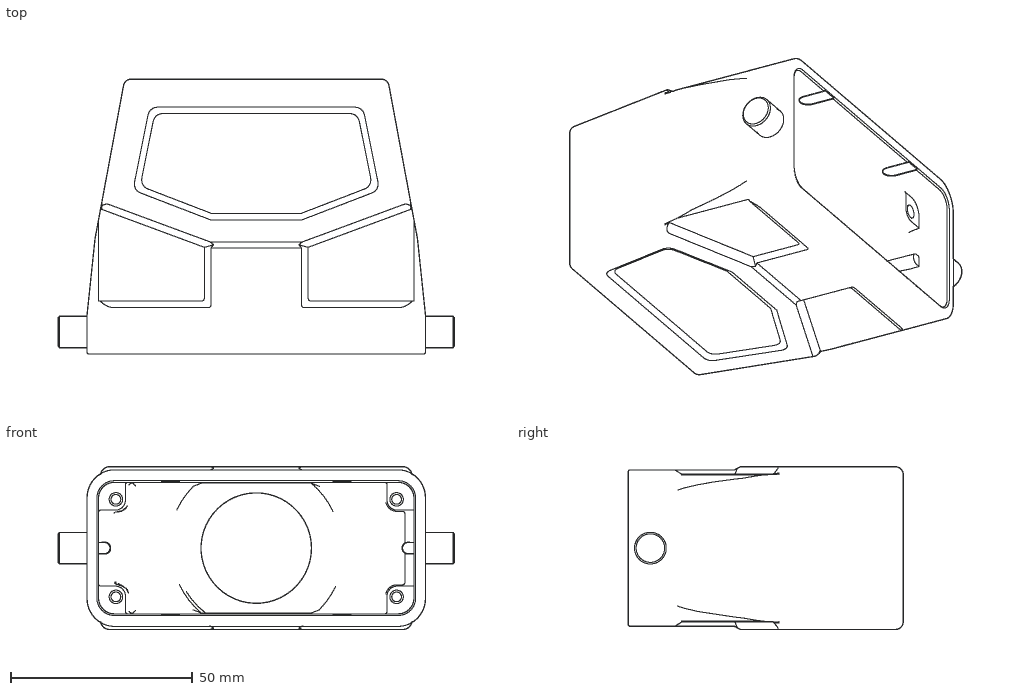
import cadquery as cq
import math


overall_length = 109.5
depth = 76.0
block_thickness = 45.0
skirt_length = 93.5
skirt_thickness = 43.3
skirt_radius = 7.7
skirt_depth = 41.6
rim_fillet = 0.5
block_fillet = 2.2

straight_depth = 11.0
bend_depth = 31.9
bend_half_length = 44.6
back_half_length = 36.4

step_top_y = 31.0
step_run = 1.6
step_corner_x = 12.7
shoulder_slope = 0.37

pocket_floor_z = 20.5
pocket_inner_x = 14.3
pocket_front_y = 14.7
pocket_wall_slope = 1.6
shoulder_run = 2.1
pocket_corner_radius = 1.6
pocket_bevel_x = 42.6
pocket_bevel_slope = 0.3

label_back_y = 68.2
label_front_y = 37.1
label_side_y = 45.3
label_back_half = 29.5
label_side_half = 34.0
label_front_half = 12.7
label_depth = 0.9
label_wall_run = 1.8
label_radius = 6.6

opening_length = 87.2
opening_thickness = 36.4
opening_radius = 4.4
rim_chamfer = 0.4
cavity_draft = 0.2
end_wall = 2.8
cavity_straight_depth = 12.4
cavity_floor_y = 73.8
cavity_fillet = 0.9
end_wall_fillet = 0.7
ledge_y = 30.7
ledge_outer_x = 41.1
ledge_inner_x = 35.9
ledge_floor_x = 30.2
ledge_fillet = 1.1

entry_diameter = 30.4
pad_radius = 23.7
pad_bar_width = 8.5
pad_height = 4.9
pad_draft = 12.0
pad_corner_radius = 1.6

boss_front_y = 9.3
boss_inner_x = 36.1
boss_inner_z = 10.5
boss_radius = 2.7
boss_draft = 1.0
screw_x = 38.8
screw_z = 13.5
screw_diameter = 3.7
screw_depth = 16.4
screw_draft = 1.8
rib_tip_x = 40.4
rib_width = 3.1
rib_draft = 0.4

groove_x = 23.7
groove_width = 5.0
groove_length = 9.4
groove_depth = 0.2

pin_diameter = 8.8
pin_y = 6.1
pin_chamfer = 0.4

block_half = block_thickness / 2
half_opening = opening_length / 2
half_opening_thickness = opening_thickness / 2
pad_top_y = cavity_floor_y - pad_height
tolerance = 0.01


def on_y(y):
    """Workplane across the depth at y, with its normal along +Y."""
    return cq.Workplane("ZX", origin=(0, y, 0)).transformed(rotate=(0, 0, 90))


def mirrored_about_midplane(solid):
    return solid.union(solid.mirror("XY"))


def four_way(solid):
    pair = solid.union(solid.mirror("YZ"))
    return mirrored_about_midplane(pair)


def plan_prism(points):
    """Prism through the whole thickness with the given XY outline."""
    return (
        cq.Workplane("XY", origin=(0, 0, -block_half))
        .polyline(points).close()
        .extrude(block_thickness)
    )


def outer_plan():
    right = [
        (skirt_length / 2, 0),
        (skirt_length / 2, straight_depth),
        (bend_half_length, bend_depth),
        (back_half_length, depth),
    ]
    left = [(-x, y) for x, y in reversed(right)]
    return plan_prism(right + left)


def skirt_tube():
    return (
        on_y(0).rect(skirt_length, skirt_thickness).extrude(skirt_depth)
        .edges("|Y").fillet(skirt_radius)
    )


def make_skirt():
    return skirt_tube().faces("<Y").edges().fillet(rim_fillet).intersect(outer_plan())


def make_block():
    """Thick rear block, stepped at its front and kept within the skirt's corners at its sides."""
    skirt_half = skirt_thickness / 2
    step_foot_y = step_top_y - step_run
    profile = [
        (step_foot_y, -skirt_half),
        (step_top_y, -block_half),
        (depth, -block_half),
        (depth, block_half),
        (step_top_y, block_half),
        (step_foot_y, skirt_half),
    ]
    block = (
        cq.Workplane("YZ", origin=(-skirt_length / 2, 0, 0))
        .polyline(profile).close().extrude(skirt_length)
        .intersect(outer_plan())
    )
    rounded_edges = block.faces(">Y").edges().vals()
    for edge in block.edges("not |X").vals():
        middle = edge.Center()
        on_broad_face = math.isclose(abs(middle.z), block_half, abs_tol=tolerance)
        if on_broad_face and bend_depth < middle.y < depth - tolerance:
            rounded_edges.append(edge)
    block = block.newObject(rounded_edges).fillet(block_fillet)
    corner_trim = (
        on_y(0).rect(overall_length, 2 * pocket_floor_z).extrude(skirt_depth)
        .cut(skirt_tube())
    )
    return block.cut(corner_trim)


def shoulder_pocket():
    """Sloped-wall pocket, open to the side, whose back wall is the slanted shoulder of the block."""
    end_x = overall_length / 2
    rise = block_half - pocket_floor_z
    widening = pocket_wall_slope * rise

    def section(inner_x, front_y, corner_y):
        def shoulder_y(x):
            return corner_y + shoulder_slope * (x - step_corner_x)
        return [
            (inner_x, front_y),
            (end_x, front_y),
            (end_x, shoulder_y(end_x)),
            (inner_x, shoulder_y(inner_x)),
        ]

    floor = section(pocket_inner_x, pocket_front_y, step_top_y - shoulder_run)
    top = section(pocket_inner_x - widening, pocket_front_y - widening, step_top_y)
    pocket = (
        cq.Workplane("XY", origin=(0, 0, pocket_floor_z))
        .polyline(floor).close()
        .workplane(offset=rise).polyline(top).close()
        .loft(ruled=True)
    )
    front_corner = cq.selectors.NearestToPointSelector(
        (pocket_inner_x - widening / 2, pocket_front_y - widening / 2, pocket_floor_z + rise / 2))
    pocket = pocket.edges(front_corner).fillet(pocket_corner_radius)
    bevel_width = end_x - pocket_bevel_x
    side_bevel = (
        cq.Workplane("XZ", origin=(0, pocket_front_y, 0))
        .moveTo(pocket_bevel_x, pocket_floor_z)
        .line(bevel_width, 0).line(0, -bevel_width * pocket_bevel_slope).close()
        .extrude(pocket_front_y - skirt_depth)
    )
    return pocket.union(side_bevel)


def label_recess():
    right = [
        (label_front_half, label_front_y),
        (label_side_half, label_side_y),
        (label_back_half, label_back_y),
    ]
    left = [(-x, y) for x, y in reversed(right)]
    wall_angle = math.degrees(math.atan2(label_wall_run, label_depth))
    recess = (
        cq.Workplane("XY", origin=(0, 0, block_half))
        .polyline(right + left).close()
        .extrude(-label_depth, taper=wall_angle)
    )
    corners = [
        edge for edge in recess.edges("not(<Z or >Z)").vals()
        if edge.Center().y > (label_front_y + label_side_y) / 2
    ]
    return recess.newObject(corners).fillet(label_radius)


def cavity_plan():
    """Cavity outline in XY: sloped wall at -X, a ledge and a set-in wall at +X."""
    bend_x = bend_half_length - end_wall
    side_slope = (bend_half_length - back_half_length) / (depth - bend_depth)
    left_floor_x = bend_x - side_slope * (cavity_floor_y - bend_depth)
    plan = plan_prism([
        (-half_opening, 0),
        (half_opening, 0),
        (half_opening, cavity_straight_depth),
        (ledge_outer_x, ledge_y),
        (ledge_inner_x, ledge_y),
        (ledge_floor_x, cavity_floor_y),
        (-left_floor_x, cavity_floor_y),
        (-bend_x, bend_depth),
        (-half_opening, cavity_straight_depth),
    ])
    ledge_edge = cq.selectors.NearestToPointSelector((ledge_inner_x, ledge_y, 0))
    return plan.edges("|Z").edges(ledge_edge).fillet(ledge_fillet)


def entry_pad():
    bar = on_y(cavity_floor_y).rect(skirt_length, pad_bar_width).extrude(
        -pad_height, taper=pad_draft)
    ring = on_y(cavity_floor_y).circle(pad_radius).extrude(-pad_height, taper=pad_draft)
    pad = ring.union(bar)
    corners = [
        edge for edge in pad.edges("not(<Y or >Y)").vals()
        if abs(edge.Center().x) < pad_radius and tolerance < abs(edge.Center().z) < pad_bar_width
    ]
    return pad.newObject(corners).fillet(pad_corner_radius)


def corner_bosses():
    size_x = skirt_length / 2 - boss_inner_x
    size_z = skirt_thickness / 2 - boss_inner_z
    boss = (
        on_y(boss_front_y)
        .center(boss_inner_x + size_x / 2, boss_inner_z + size_z / 2)
        .sketch().rect(size_x, size_z).vertices().fillet(boss_radius).finalize()
        .extrude(depth - boss_front_y, taper=-boss_draft)
    )
    return four_way(boss)


def guide_ribs():
    length = skirt_length / 2 - rib_tip_x
    rib = (
        on_y(boss_front_y).center(rib_tip_x + length / 2, 0)
        .slot2D(length, rib_width)
        .extrude(depth - boss_front_y, taper=-rib_draft)
    )
    return rib.union(rib.mirror("YZ"))


def round_floor_and_pad(cavity):
    """Round the floor, the foot of the pad and the free edges of its top."""
    floor_edges = cavity.faces(">Y").edges().vals()
    pad_top_edges = [
        edge for edge in cavity.edges().vals()
        if math.isclose(edge.Center().y, pad_top_y, abs_tol=tolerance)
        and abs(edge.Center().z) < half_opening_thickness - cavity_fillet
        and abs(edge.Center().x) < ledge_floor_x
    ]
    return cavity.newObject(floor_edges + pad_top_edges).fillet(cavity_fillet)


def round_end_walls(cavity):
    """Round the feet of the bosses, the edges of the end walls and the ends of the pad bar."""
    edges = []
    for edge in cavity.edges().vals():
        box = edge.BoundingBox()
        if abs(edge.Center().x) < ledge_floor_x:
            continue
        runs_along_y = box.ylen > boss_front_y
        behind_boss_front = box.ymin > boss_front_y + tolerance
        on_broad_wall = abs(edge.Center().z) > half_opening_thickness - end_wall_fillet
        passes_boss_front = box.ymax > boss_front_y + tolerance
        at_wall = behind_boss_front or (on_broad_wall and passes_boss_front)
        at_pad_top = math.isclose(edge.Center().y, pad_top_y, abs_tol=tolerance)
        if (runs_along_y and at_wall) or (box.ylen < tolerance and at_pad_top):
            edges.append(edge)
    return cavity.newObject(edges).fillet(end_wall_fillet)


def make_cavity():
    cavity = (
        on_y(0).sketch().rect(opening_length, opening_thickness)
        .vertices().fillet(opening_radius).finalize()
        .extrude(cavity_floor_y, taper=cavity_draft)
        .intersect(cavity_plan())
    )
    cavity = round_floor_and_pad(cavity.cut(entry_pad()))
    cavity = round_end_walls(cavity.cut(corner_bosses()))
    return cavity.cut(guide_ribs())


def rim_grooves():
    top_z = half_opening_thickness + groove_depth
    straight = groove_length - groove_width / 2
    groove = (
        cq.Workplane("XY", origin=(groove_x, 0, top_z))
        .rect(groove_width, 2 * straight).extrude(-2 * groove_depth)
        .union(
            cq.Workplane("XY", origin=(groove_x, straight, top_z))
            .circle(groove_width / 2).extrude(-2 * groove_depth)
        )
    )
    return four_way(groove)


def screw_holes():
    hole = (
        on_y(boss_front_y).center(screw_x, screw_z)
        .circle(screw_diameter / 2).extrude(screw_depth, taper=screw_draft)
    )
    return four_way(hole)


def locking_pins():
    root_x = (opening_length + skirt_length) / 4
    pin = (
        cq.Workplane("YZ", origin=(root_x, pin_y, 0))
        .circle(pin_diameter / 2).extrude(overall_length / 2 - root_x)
        .faces(">X").chamfer(pin_chamfer)
    )
    return pin.union(pin.mirror("YZ"))


body = make_skirt().union(make_block())
body = body.cut(four_way(shoulder_pocket()))
body = body.cut(mirrored_about_midplane(label_recess()))
body = body.cut(make_cavity())
rim_opening = body.faces("<Y").val().innerWires()[0]
body = body.newObject(rim_opening.Edges()).chamfer(rim_chamfer)
body = body.cut(rim_grooves()).cut(screw_holes())
body = body.cut(on_y(0).circle(entry_diameter / 2).extrude(depth))
result = body.union(locking_pins())